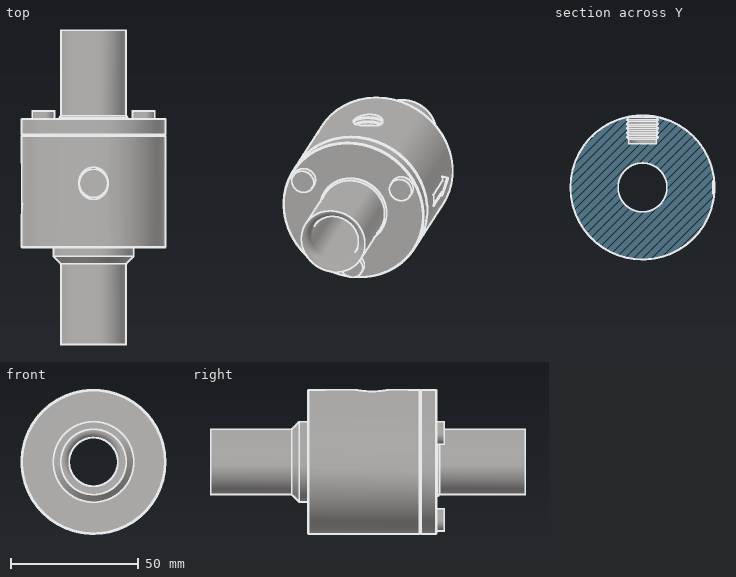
import cadquery as cq
import math

total_length = 123.8
body_radius = 28.42

tube_radius = 12.9
bore_radius = 9.5
mouth_round = tube_radius - bore_radius

collar_radius = 15.8
cone_length = collar_radius - tube_radius
body_front = 38.1
collar_length = 6.3
cone_front = body_front - collar_length

joint_y = 82.5
flange_back = 89.0
edge_chamfer = 0.4

ring_width = 0.6
ring_lip_height = 0.4
ring_height = 1.1

screw_count = 3
screw_circle_radius = 22.8
screw_head_radius = 4.5
screw_head_height = 3.0
first_screw_angle = -90.0

port_y = 63.5
port_depth = 11.1
port_minor_radius = 5.6
port_major_radius = 6.3
thread_pitch = 1.7
thread_count = 5

arrow_tail_y = 71.6
arrow_neck_y = 55.5
arrow_tip_y = 46.3
arrow_shaft_half_width = 2.5
arrow_head_half_width = 4.1
arrow_depth = 0.6


def make_turned_blank():
    """Outer profile turned about the Y axis: tube, collar, body, flange, ring, tube."""
    chamfered_radius = body_radius - edge_chamfer
    return (
        cq.Workplane("XY")
        .moveTo(0, 0)
        .lineTo(tube_radius, 0)
        .lineTo(tube_radius, cone_front)
        .lineTo(collar_radius, cone_front + cone_length)
        .lineTo(collar_radius, body_front)
        .lineTo(chamfered_radius, body_front)
        .lineTo(body_radius, body_front + edge_chamfer)
        .lineTo(body_radius, joint_y - edge_chamfer)
        .lineTo(chamfered_radius, joint_y)
        .lineTo(body_radius, joint_y + edge_chamfer)
        .lineTo(body_radius, flange_back - edge_chamfer)
        .lineTo(chamfered_radius, flange_back)
        .lineTo(tube_radius + ring_width, flange_back)
        .lineTo(tube_radius + ring_width, flange_back + ring_lip_height)
        .lineTo(tube_radius, flange_back + ring_height)
        .lineTo(tube_radius, total_length)
        .lineTo(0, total_length)
        .close()
        .revolve(360, (0, 0, 0), (0, 1, 0))
    )


def make_bore():
    """Through bore whose two mouths flare out with a quarter round."""
    round_middle = mouth_round * (1 - math.sqrt(0.5))
    return (
        cq.Workplane("XY")
        .moveTo(0, 0)
        .lineTo(tube_radius, 0)
        .threePointArc((bore_radius + round_middle, round_middle), (bore_radius, mouth_round))
        .lineTo(bore_radius, total_length - mouth_round)
        .threePointArc(
            (bore_radius + round_middle, total_length - round_middle),
            (tube_radius, total_length),
        )
        .lineTo(0, total_length)
        .close()
        .revolve(360, (0, 0, 0), (0, 1, 0))
    )


def make_screw_head(index):
    """Plain cylindrical head standing on the rear face of the flange."""
    angle = math.radians(first_screw_angle + index * 360 / screw_count)
    x = screw_circle_radius * math.cos(angle)
    z = screw_circle_radius * math.sin(angle)
    return cq.Workplane(
        cq.Solid.makeCylinder(
            screw_head_radius, screw_head_height, cq.Vector(x, flange_back, z), cq.Vector(0, 1, 0)
        )
    )


def make_threaded_port():
    """Blind hole with evenly spaced V grooves standing for the thread."""
    half_pitch = thread_pitch / 2
    profile = (
        cq.Workplane("XZ", origin=(0, port_y, body_radius))
        .moveTo(0, 0)
        .lineTo(port_major_radius, 0)
    )
    for index in range(thread_count):
        crest_depth = half_pitch + index * thread_pitch
        profile = profile.lineTo(port_minor_radius, -crest_depth)
        profile = profile.lineTo(port_major_radius, -crest_depth - half_pitch)
    last_crest_depth = half_pitch + thread_count * thread_pitch
    return (
        profile.lineTo(port_minor_radius, -last_crest_depth)
        .lineTo(port_minor_radius, -port_depth)
        .lineTo(0, -port_depth)
        .close()
        .revolve(360, (0, 0, 0), (0, 1, 0))
    )


def make_arrow_pocket():
    """Flat-floored arrow pointing to the outlet end, open to the -X side."""
    return (
        cq.Workplane("YZ", origin=(-body_radius + arrow_depth, 0, 0))
        .moveTo(arrow_tail_y, arrow_shaft_half_width)
        .lineTo(arrow_neck_y, arrow_shaft_half_width)
        .lineTo(arrow_neck_y, arrow_head_half_width)
        .lineTo(arrow_tip_y, 0)
        .lineTo(arrow_neck_y, -arrow_head_half_width)
        .lineTo(arrow_neck_y, -arrow_shaft_half_width)
        .lineTo(arrow_tail_y, -arrow_shaft_half_width)
        .close()
        .extrude(-2 * arrow_depth)
    )


valve = make_turned_blank()
for screw in range(screw_count):
    valve = valve.union(make_screw_head(screw))
result = valve.cut(make_bore()).cut(make_threaded_port()).cut(make_arrow_pocket())